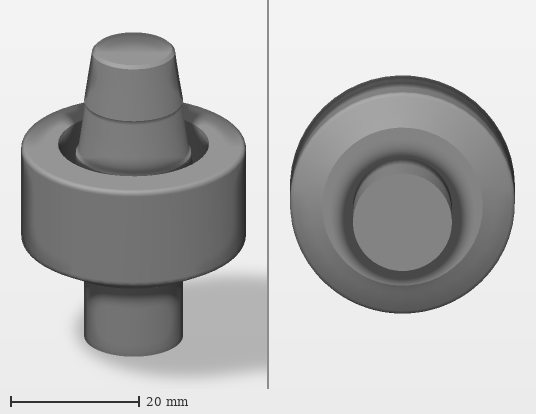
import cadquery as cq
import math

total_height = 49.4
body_bottom = 14.0
body_top = 33.0
recess_floor = 23.2
lower_shoulder_height = 31.65
middle_cone_bottom = 32.3
middle_cone_top = 39.75
upper_cone_bottom = 40.55

shank_radius = 15.4 / 2
body_radius = 35.0 / 2
body_base_radius = 12.5
recess_radius = 23.5 / 2
lower_cone_base_radius = 20.0 / 2
lower_shoulder_radius = 9.0
middle_cone_base_radius = 8.6
middle_cone_top_radius = 7.55
upper_cone_base_radius = 15.4 / 2
tip_radius = 6.45

rim_fillet = 0.8
bevel_fillet = 1.0
tip_chamfer = 0.5
relief_radius = 1.0
bevel_angle = 30.0

bevel_height = (body_radius - body_base_radius) * math.tan(math.radians(bevel_angle))
bevel_top = body_bottom + bevel_height


def revolve_about_z(outline):
    """Close a half outline drawn in XZ (radius, height) and turn it around the Z axis."""
    return outline.close().revolve(360, (0, 0, 0), (0, 1, 0))


def make_body():
    """Round drum, bevelled underneath, with its upper and lower rims rounded."""
    outline = cq.Workplane("XZ").polyline([
        (0, body_bottom),
        (body_base_radius, body_bottom),
        (body_radius, bevel_top),
        (body_radius, body_top),
        (0, body_top),
    ])
    drum = revolve_about_z(outline)
    drum = drum.faces(">Z").edges().fillet(rim_fillet)
    bevel_rim = cq.selectors.NearestToPointSelector((0, 0, bevel_top))
    return drum.edges("%CIRCLE").edges(bevel_rim).fillet(bevel_fillet)


def make_recess():
    """Round pocket surrounding the pin, open at the top of the body."""
    return (
        cq.Workplane("XY", origin=(0, 0, recess_floor))
        .circle(recess_radius)
        .extrude(body_top - recess_floor)
    )


def make_pin():
    """Plain shank below and three stacked tapers above, joined by concave reliefs, with a bevelled tip."""
    outline = (
        cq.Workplane("XZ")
        .lineTo(shank_radius, 0)
        .lineTo(shank_radius, recess_floor)
        .lineTo(lower_cone_base_radius, recess_floor)
        .lineTo(lower_shoulder_radius, lower_shoulder_height)
        .radiusArc((middle_cone_base_radius, middle_cone_bottom), relief_radius)
        .lineTo(middle_cone_top_radius, middle_cone_top)
        .radiusArc((upper_cone_base_radius, upper_cone_bottom), relief_radius)
        .lineTo(tip_radius, total_height - tip_chamfer)
        .lineTo(tip_radius - tip_chamfer, total_height)
        .lineTo(0, total_height)
    )
    return revolve_about_z(outline)


result = make_body().cut(make_recess()).union(make_pin())